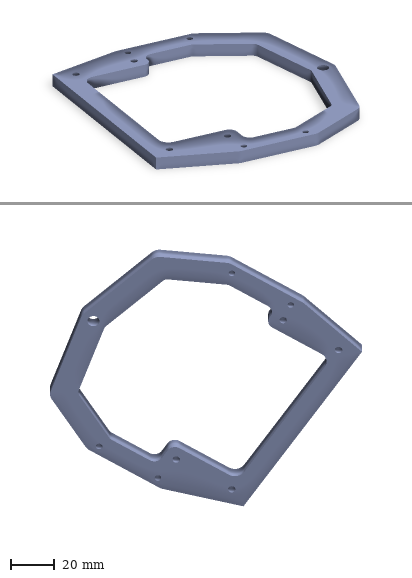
import cadquery as cq
import math

thickness = 6.0
half_width = 60.0
height = 117.8
corner_radius = 5.0

shoulder_x = 44.9
shoulder_y = 107.0
side_top_y = 76.8
side_bottom_y = 36.8

base_center_x = -2.0
base_half_width = 49.9

window_half_width = 49.8
window_peak_y = 105.7
window_shoulder_x = 36.8
window_shoulder_y = 96.7
window_side_top_y = 70.8
ledge_y = 45.5
lower_window_half_width = 39.0
window_bottom_y = 9.8
window_arch_radius = 3.0
ledge_radius = 4.0
window_bottom_radius = 5.0

peak_hole_diameter = 5.5
peak_hole_y = 111.8
side_hole_diameter = 3.0
side_hole_x = 55.9
side_hole_rows = (41.0, 72.8)
base_hole_diameter = 3.4
base_hole_offset = 45.0
base_hole_rows = (9.5, 39.5)

arch_slope = math.atan2(height - shoulder_y, shoulder_x)
sharp_peak_y = height + corner_radius * (1 / math.cos(arch_slope) - 1)


def prism(points):
    """Extrude a closed polygon through the plate thickness."""
    return cq.Workplane("XY").polyline(points).close().extrude(thickness)


def hole_cutter(points, diameter):
    return cq.Workplane("XY").pushPoints(points).circle(diameter / 2).extrude(thickness)


def mirrored_holes(center_x, offset, rows):
    """Hole centres on both sides of a vertical centreline."""
    return [(center_x + side * offset, y) for side in (-1, 1) for y in rows]


def fillet_band(body, y_low, y_high, radius):
    """Round the upright edges whose Y lies between y_low and y_high."""
    band = cq.selectors.BoxSelector((-height, y_low, -thickness), (height, y_high, 2 * thickness))
    return body.edges("|Z").edges(band).fillet(radius)


def make_plate():
    plate = prism([
        (base_center_x - base_half_width, 0),
        (base_center_x + base_half_width, 0),
        (half_width, side_bottom_y),
        (half_width, side_top_y),
        (shoulder_x, shoulder_y),
        (0, sharp_peak_y),
        (-shoulder_x, shoulder_y),
        (-half_width, side_top_y),
        (-half_width, side_bottom_y),
    ])
    return fillet_band(plate, side_bottom_y / 2, 2 * height, corner_radius)


def make_window():
    above_ledge = (ledge_y + window_side_top_y) / 2
    lower_left_x = base_center_x - lower_window_half_width
    lower_right_x = base_center_x + lower_window_half_width
    window = prism([
        (lower_left_x, window_bottom_y),
        (lower_right_x, window_bottom_y),
        (lower_right_x, ledge_y),
        (window_half_width, ledge_y),
        (window_half_width, window_side_top_y),
        (window_shoulder_x, window_shoulder_y),
        (0, window_peak_y),
        (-window_shoulder_x, window_shoulder_y),
        (-window_half_width, window_side_top_y),
        (-window_half_width, ledge_y),
        (lower_left_x, ledge_y),
    ])
    window = fillet_band(window, 0, ledge_y / 2, window_bottom_radius)
    window = fillet_band(window, ledge_y / 2, above_ledge, ledge_radius)
    return fillet_band(window, above_ledge, height, window_arch_radius)


result = (
    make_plate()
    .cut(make_window())
    .cut(hole_cutter([(0, peak_hole_y)], peak_hole_diameter))
    .cut(hole_cutter(mirrored_holes(0, side_hole_x, side_hole_rows), side_hole_diameter))
    .cut(hole_cutter(mirrored_holes(base_center_x, base_hole_offset, base_hole_rows), base_hole_diameter))
)